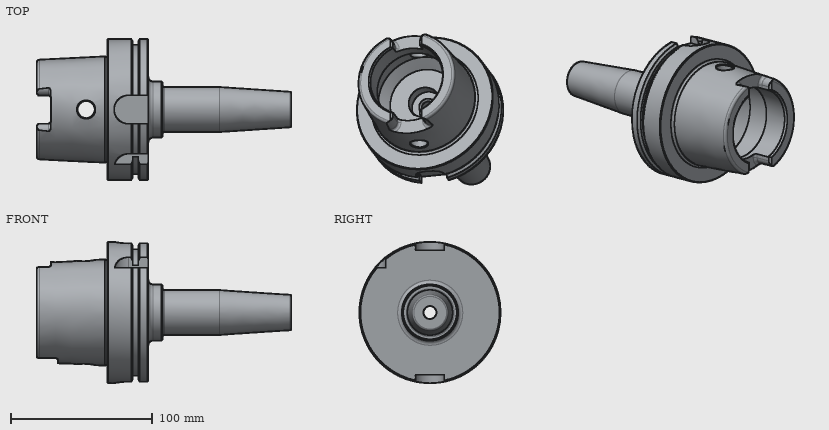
import cadquery as cq
import math


total_length = 180.0
flange_start = 50.0
flange_end = 79.0
collar_end = 89.1
nose_start = 129.0

shank_end_radius = 35.3
taper_ratio = 1 / 20
shank_base_radius = shank_end_radius + taper_ratio * flange_start
shank_edge_radius = 2.0
relief_start = 48.0
relief_ramp_end = 49.0
relief_floor_radius = 37.0
relief_depth = 0.5
relief_belly_radius = 38.0
relief_face_radius = 39.2

flange_radius = 50.0
flange_front_chamfer = 0.5
flange_back_chamfer = 0.9
groove_x = 69.8
groove_floor_radius = 45.9
groove_floor_width = 3.6
groove_mouth_width = 6.3
groove_bevel_depth = 2.2

collar_radius = 20.0
collar_root_fillet = 3.0
collar_chamfer = 1.0
stem_radius = 16.0
stem_root_fillet = 0.9
nose_end_radius = 12.6
nose_fillet = 1.0

mouth_radius = 26.5
mouth_chamfer_width = 0.9
mouth_chamfer_depth = 1.8
lip_end = 19.8
chamber_radius = 31.5
chamber_end = 41.0
shoulder_angle = math.radians(60)
floor_radius = 24.7
floor_x = chamber_end + chamber_radius - floor_radius
tube_seat_radius = 11.2
tube_seat_depth = 9.0
through_radius = 4.5
countersink_radius = 6.03

cross_hole_x = 35.0
cross_hole_diameter = 12.0
cross_hole_chamfer = 0.5

keyway_half_width = 9.9
keyway_lobe_radius = 5.0
keyway_ledge_height = 32.2
keyway_top_depth = 10.0
keyway_bottom_depth = 15.0
keyway_floor_fillet = 2.0
keyway_entry_depth = 1.3
keyway_entry_width = 1.6
keyway_reach = 43.2
keyway_ledge_half_span = 21.6

slot_radius = 10.0
slot_center_x = 64.8
slot_floor_height = 44.0
notch_center_y = -41.4
notch_floor_height = 31.7


def revolve_x(profile):
    """Close a profile drawn in X and radius and turn it about the X axis."""
    return profile.close().revolve(360, (0, 0, 0), (1, 0, 0))


def ring_edges(body, x, radius):
    """Full-circle edges about the X axis at the given place and radius."""
    tolerance = 0.02
    reach = radius + tolerance
    box = cq.selectors.BoxSelector(
        (x - tolerance, -reach, -reach),
        (x + tolerance, reach, reach),
        boundingbox=True,
    )
    edges = body.edges(box)
    return edges.filter(lambda edge: abs(edge.BoundingBox().ymax - radius) < tolerance)


def outer_body():
    body = revolve_x(
        cq.Workplane("XY")
        .moveTo(0, 0)
        .lineTo(0, shank_end_radius)
        .lineTo(flange_start, shank_base_radius)
        .lineTo(flange_start, flange_radius)
        .lineTo(flange_end, flange_radius)
        .lineTo(flange_end, collar_radius)
        .lineTo(collar_end, collar_radius)
        .lineTo(collar_end, stem_radius)
        .lineTo(nose_start, stem_radius)
        .lineTo(total_length, nose_end_radius)
        .lineTo(total_length, 0)
    )
    body = ring_edges(body, 0, shank_end_radius).fillet(shank_edge_radius)
    body = ring_edges(body, flange_start, flange_radius).chamfer(flange_front_chamfer)
    body = ring_edges(body, flange_end, flange_radius).chamfer(flange_back_chamfer)
    body = ring_edges(body, flange_end, collar_radius).fillet(collar_root_fillet)
    body = ring_edges(body, collar_end, collar_radius).chamfer(collar_chamfer)
    body = ring_edges(body, collar_end, stem_radius).fillet(stem_root_fillet)
    return ring_edges(body, total_length, nose_end_radius).fillet(nose_fillet)


def gripper_groove():
    bevel_radius = flange_radius - groove_bevel_depth
    half_floor = groove_floor_width / 2
    half_mouth = groove_mouth_width / 2
    return revolve_x(
        cq.Workplane("XY")
        .moveTo(groove_x - half_floor, groove_floor_radius)
        .lineTo(groove_x - half_floor, bevel_radius)
        .lineTo(groove_x - half_mouth, flange_radius)
        .lineTo(groove_x + half_mouth, flange_radius)
        .lineTo(groove_x + half_floor, bevel_radius)
        .lineTo(groove_x + half_floor, groove_floor_radius)
    )


def corner_relief():
    """Undercut where the shank meets the flange: a ramp, then an arc into the flange face."""
    ramp_start_radius = shank_end_radius + taper_ratio * relief_start
    return revolve_x(
        cq.Workplane("XY")
        .moveTo(relief_start, ramp_start_radius)
        .lineTo(relief_ramp_end, relief_floor_radius)
        .threePointArc(
            (flange_start + relief_depth, relief_belly_radius),
            (flange_start, relief_face_radius),
        )
        .lineTo(relief_ramp_end, relief_face_radius)
    )


def inner_cavity():
    shoulder_length = (chamber_radius - mouth_radius) / math.tan(shoulder_angle)
    seat_end = floor_x + tube_seat_depth
    countersink_depth = countersink_radius - through_radius
    return revolve_x(
        cq.Workplane("XY")
        .moveTo(0, 0)
        .lineTo(0, mouth_radius + mouth_chamfer_width)
        .lineTo(mouth_chamfer_depth, mouth_radius)
        .lineTo(lip_end, mouth_radius)
        .lineTo(lip_end + shoulder_length, chamber_radius)
        .lineTo(chamber_end, chamber_radius)
        .lineTo(floor_x, floor_radius)
        .lineTo(floor_x, tube_seat_radius)
        .lineTo(seat_end, tube_seat_radius)
        .lineTo(seat_end, countersink_radius)
        .lineTo(seat_end + countersink_depth, through_radius)
        .lineTo(total_length, through_radius)
        .lineTo(total_length, 0)
    )


def cut_cross_holes(body):
    hole_radius = cross_hole_diameter / 2
    drill = (
        cq.Workplane("XY")
        .center(cross_hole_x, 0)
        .circle(hole_radius)
        .extrude(flange_radius, both=True)
    )
    body = body.cut(drill)
    rims = body.edges(
        cq.selectors.BoxSelector(
            (cross_hole_x - hole_radius, -hole_radius, -flange_radius),
            (cross_hole_x + hole_radius, hole_radius, flange_radius),
        )
    )
    outer_rims = rims.filter(lambda edge: abs(edge.Center().z) > chamber_radius)
    return outer_rims.chamfer(cross_hole_chamfer)


def keyway(depth):
    """Keyway above the axis: upright walls that roll outward onto flat ledges."""
    lobe_y = keyway_half_width + keyway_lobe_radius
    lobe_z = keyway_ledge_height - keyway_lobe_radius
    diagonal = keyway_lobe_radius * math.sqrt(0.5)
    mid_y = lobe_y - diagonal
    mid_z = lobe_z + diagonal
    slot = (
        cq.Workplane("YZ")
        .moveTo(-keyway_half_width, 0)
        .lineTo(keyway_half_width, 0)
        .lineTo(keyway_half_width, lobe_z)
        .threePointArc((mid_y, mid_z), (lobe_y, keyway_ledge_height))
        .lineTo(keyway_ledge_half_span, keyway_ledge_height)
        .lineTo(keyway_ledge_half_span, keyway_reach)
        .lineTo(-keyway_ledge_half_span, keyway_reach)
        .lineTo(-keyway_ledge_half_span, keyway_ledge_height)
        .lineTo(-lobe_y, keyway_ledge_height)
        .threePointArc((-mid_y, mid_z), (-keyway_half_width, lobe_z))
        .close()
        .extrude(depth)
        .faces(">X")
        .edges()
        .fillet(keyway_floor_fillet)
    )
    entry_half_width = keyway_half_width + keyway_entry_width
    entry = (
        cq.Workplane("XY")
        .moveTo(0, -entry_half_width)
        .lineTo(keyway_entry_depth, -keyway_half_width)
        .lineTo(keyway_entry_depth, keyway_half_width)
        .lineTo(0, entry_half_width)
        .close()
        .extrude(keyway_reach)
    )
    return slot.union(entry)


def flange_slot(center_y, floor_height):
    """Slot along X with a round end, open at the back of the flange and above its floor."""
    base = cq.Workplane("XY").workplane(offset=floor_height)
    height = flange_radius - floor_height
    length = flange_end - slot_center_x
    round_end = base.center(slot_center_x, center_y).circle(slot_radius).extrude(height)
    run = base.center(slot_center_x + length / 2, center_y).rect(length, 2 * slot_radius).extrude(height)
    return round_end.union(run)


def half_turn(shape):
    return shape.rotate((0, 0, 0), (1, 0, 0), 180)


result = outer_body().cut(gripper_groove()).cut(corner_relief()).cut(inner_cavity())
result = cut_cross_holes(result)
result = result.cut(keyway(keyway_top_depth))
result = result.cut(half_turn(keyway(keyway_bottom_depth)))

drive_slot = flange_slot(0, slot_floor_height)
result = result.cut(drive_slot).cut(half_turn(drive_slot))
result = result.cut(flange_slot(notch_center_y, notch_floor_height))